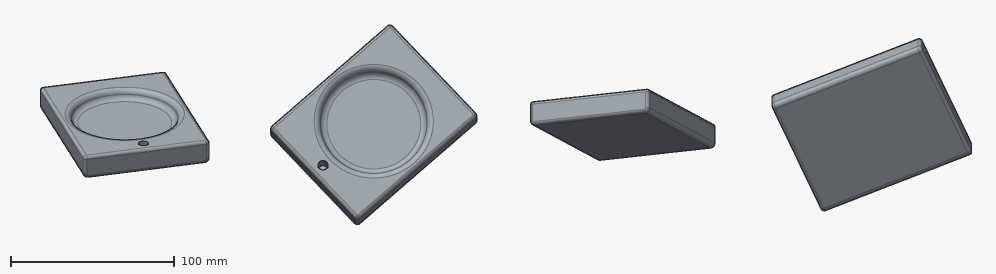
import math

import cadquery as cq

length = 100.0
width = 80.0
height = 15.0
edge_radius = 2.0
long_bottom_edge_radius = 3.0

dish_rim_diameter = 73.0
dish_fillet = 4.0
dish_depth = 6.0

hole_diameter = 6.0
hole_depth = 10.0
hole_x = 42.0


def make_plate():
    """Block resting on Z = 0, with larger rounds on its two long bottom edges."""
    plate = cq.Workplane("XY").box(length, width, height, centered=(True, True, False))
    plate = plate.faces("<Z").edges("|X").fillet(long_bottom_edge_radius)
    other_edges = plate.edges("|Z").add(plate.faces(">Z").edges())
    return other_edges.add(plate.faces("<X or >X").edges("<Z")).fillet(edge_radius)


def make_dish():
    """Revolved cutter whose wall is an S-curve of two equal, tangent arcs."""
    turn_angle = math.acos(1 - dish_depth / (2 * dish_fillet))
    arc_width = dish_fillet * math.sin(turn_angle)
    half_arc_width = dish_fillet * math.sin(turn_angle / 2)
    half_arc_rise = dish_fillet * (1 - math.cos(turn_angle / 2))

    rim_radius = dish_rim_diameter / 2
    middle_radius = rim_radius - arc_width
    floor_radius = middle_radius - arc_width
    floor_z = height - dish_depth
    middle_z = height - dish_depth / 2
    return (
        cq.Workplane("XZ")
        .moveTo(0, floor_z)
        .lineTo(floor_radius, floor_z)
        .threePointArc(
            (floor_radius + half_arc_width, floor_z + half_arc_rise),
            (middle_radius, middle_z),
        )
        .threePointArc(
            (rim_radius - half_arc_width, height - half_arc_rise),
            (rim_radius, height),
        )
        .lineTo(0, height)
        .close()
        .revolve(360, (0, 0), (0, 1))
    )


def make_hole():
    """Cylinder cut downward from the top face."""
    return (
        cq.Workplane("XY", origin=(hole_x, 0, height))
        .circle(hole_diameter / 2)
        .extrude(-hole_depth)
    )


result = make_plate().cut(make_dish()).cut(make_hole())